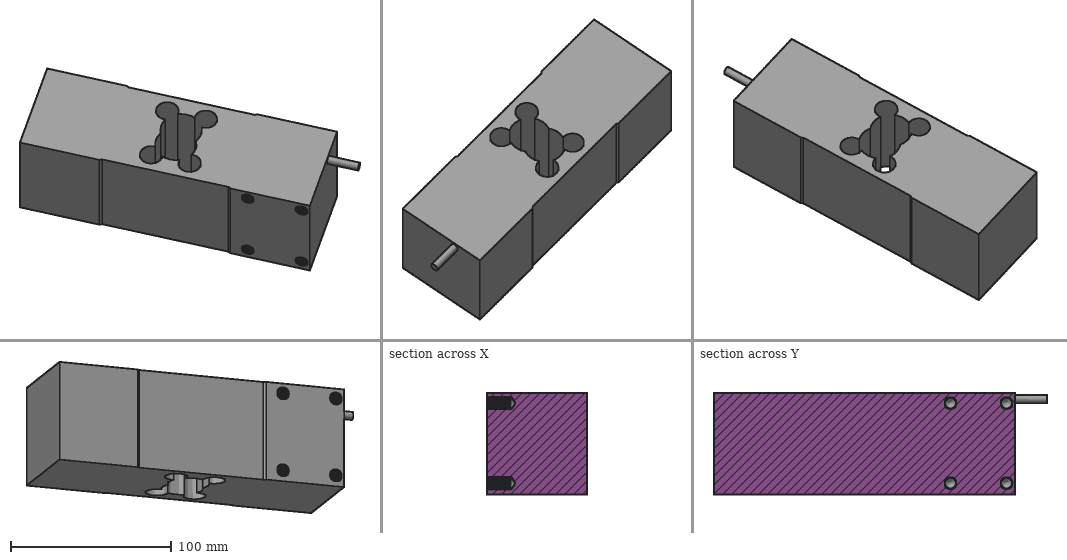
import cadquery as cq
import math

total_length = 208.0
block_length = 188.0
block_width = 62.5
block_height = 63.5
cable_diameter = 5.2
cable_offset_y = 10.8
cable_below_top = 4.0

end_pad_length = 51.5
recess_depth = 0.8
recess_slope_run = 1.5

corner_hole_radius = 7.0
corner_hole_x = 12.5
corner_hole_y = 18.5
lobe_radius = 13.0
lobe_offset_y = 6.0

thread_major_diameter = 8.0
thread_minor_diameter = 6.7
thread_pitch = 1.2
thread_turns = 12
drill_point_angle = 118.0
mount_pitch_x = 35.0
mount_pitch_z = 50.0
mount_end_margin = 5.5
mount_top_margin = 6.5

half_width = block_width / 2
cable_length = total_length - block_length


def make_block():
    """Block, centred in Y and Z, starting at X = 0."""
    return cq.Workplane("XY").box(block_length, block_width, block_height, centered=(False, True, True))


def make_recess():
    """Trapezoidal relief across the full height of the -Y side."""
    slope_end = end_pad_length + recess_slope_run
    floor_y = -half_width + recess_depth
    return (
        cq.Workplane("XY")
        .polyline([
            (end_pad_length, -half_width),
            (block_length - end_pad_length, -half_width),
            (block_length - slope_end, floor_y),
            (slope_end, floor_y),
        ])
        .close()
        .extrude(block_height / 2, both=True)
    )


def make_flexure_opening():
    """Two overlapping central bores joined to four corner bores."""
    center = cq.Workplane("XY").center(block_length / 2, 0)
    lobes = (
        center.pushPoints([(0, -lobe_offset_y), (0, lobe_offset_y)])
        .circle(lobe_radius)
        .extrude(block_height / 2, both=True)
    )
    corners = (
        center.rect(2 * corner_hole_x, 2 * corner_hole_y, forConstruction=True)
        .vertices()
        .circle(corner_hole_radius)
        .extrude(block_height / 2, both=True)
    )
    return lobes.union(corners)


def make_mount_hole():
    """Drilled hole entering the -Y face on the Y axis, its thread formed by V-shaped rings."""
    major_radius = thread_major_diameter / 2
    minor_radius = thread_minor_diameter / 2
    point_depth = minor_radius / math.tan(math.radians(drill_point_angle / 2))
    profile = cq.Workplane("XY").moveTo(0, -half_width).lineTo(major_radius, -half_width)
    for turn in range(thread_turns):
        turn_start = -half_width + turn * thread_pitch
        profile = profile.lineTo(minor_radius, turn_start + thread_pitch / 2)
        profile = profile.lineTo(major_radius, turn_start + thread_pitch)
    thread_end = -half_width + thread_turns * thread_pitch
    shaft_end = thread_end + thread_pitch / 2
    profile = profile.lineTo(minor_radius, shaft_end).lineTo(0, shaft_end + point_depth)
    return profile.close().revolve(360, (0, 0, 0), (0, 1, 0))


def make_cable():
    """Round cable leaving the +X end face."""
    return (
        cq.Workplane("YZ", origin=(block_length, 0, 0))
        .center(cable_offset_y, block_height / 2 - cable_below_top)
        .circle(cable_diameter / 2)
        .extrude(cable_length)
    )


recess = make_recess()
result = make_block().cut(recess).cut(recess.mirror("XZ")).cut(make_flexure_opening())

mount_hole = make_mount_hole()
outer_hole_x = block_length - mount_end_margin
upper_hole_z = block_height / 2 - mount_top_margin
for hole_x in (outer_hole_x - mount_pitch_x, outer_hole_x):
    for hole_z in (upper_hole_z - mount_pitch_z, upper_hole_z):
        result = result.cut(mount_hole.translate((hole_x, 0, hole_z)))

result = result.union(make_cable())